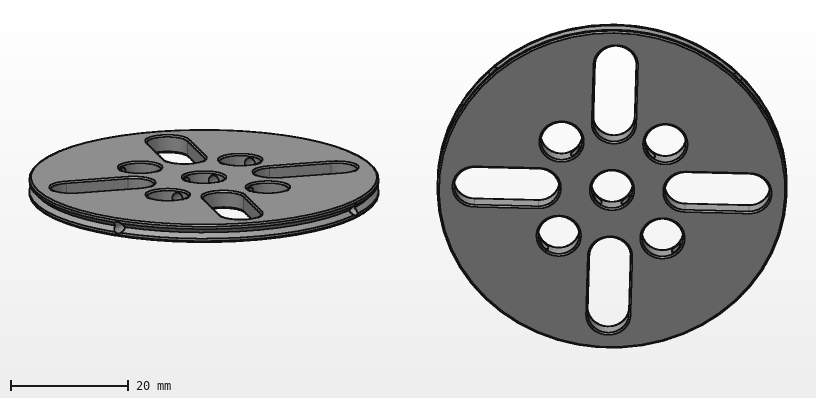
import cadquery as cq

disc_diameter = 59.4
disc_thickness = 3.15
edge_chamfer = 0.3

groove_depth = 0.85
groove_half_width = groove_depth

hole_diameter = 7.0
hole_pitch = 12.45

slot_inner_radius = hole_pitch
slot_outer_radius = 23.35
slot_angles = [45, 135, 225, 315]

bore_diameter = 2.0
bore_seam_turn = 30

disc_radius = disc_diameter / 2
half_thickness = disc_thickness / 2
bottom_centre = (0, 0, -half_thickness)


def make_disc():
    """Chamfered disc with the rim groove, revolved from its half section."""
    face_radius = disc_radius - edge_chamfer
    land_height = half_thickness - edge_chamfer
    section = (
        cq.Workplane("XZ")
        .moveTo(0, -half_thickness)
        .lineTo(face_radius, -half_thickness)
        .lineTo(disc_radius, -land_height)
        .lineTo(disc_radius, -groove_half_width)
        .lineTo(disc_radius - groove_depth, 0)
        .lineTo(disc_radius, groove_half_width)
        .lineTo(disc_radius, land_height)
        .lineTo(face_radius, half_thickness)
        .lineTo(0, half_thickness)
        .close()
    )
    return section.revolve(360, (0, 0, 0), (0, 1, 0))


def make_hole_cutters():
    """Cylinders for the five round holes."""
    centres = [(0, 0), (hole_pitch, 0), (-hole_pitch, 0), (0, hole_pitch), (0, -hole_pitch)]
    return (
        cq.Workplane("XY", origin=bottom_centre)
        .pushPoints(centres)
        .circle(hole_diameter / 2)
        .extrude(disc_thickness)
    )


def make_slot_cutter(angle):
    """Round-ended radial slot, turned to the given angle about Z."""
    centre_spacing = slot_outer_radius - slot_inner_radius
    slot_centre = (slot_outer_radius + slot_inner_radius) / 2
    return (
        cq.Workplane("XY", origin=bottom_centre)
        .center(slot_centre, 0)
        .slot2D(centre_spacing + hole_diameter, hole_diameter)
        .extrude(disc_thickness)
        .rotate((0, 0, 0), (0, 0, 1), angle)
    )


def make_bore_cutter(axis):
    """Rod along a horizontal axis through the origin, reaching past the rim on both sides.

    It is spun about its own axis so that its seam line does not meet the tip of the groove
    or the vertical middle plane, which keeps the cut through the groove reliable.
    """
    rod = cq.Solid.makeCylinder(bore_diameter / 2, 2 * disc_diameter, axis * -disc_diameter, axis)
    return rod.rotate(cq.Vector(0, 0, 0), axis, bore_seam_turn)


disc = make_disc().cut(make_hole_cutters())
for slot_angle in slot_angles:
    disc = disc.cut(make_slot_cutter(slot_angle))

for flat_face in disc.faces("|Z").vals():
    opening_edges = [edge for wire in flat_face.innerWires() for edge in wire.Edges()]
    disc = disc.newObject(opening_edges).chamfer(edge_chamfer)

for bore_axis in [cq.Vector(1, 0, 0), cq.Vector(0, 1, 0)]:
    disc = disc.cut(cq.Workplane(make_bore_cutter(bore_axis)))

result = disc